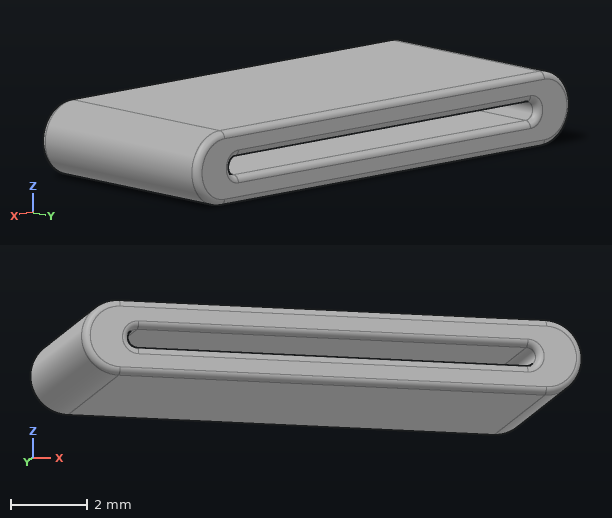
import cadquery as cq

length = 13.5
depth = 6.0
height = 2.0

slot_length = 11.0
slot_height = 0.5

edge_radius = 0.19


def stadium_prism(overall_length, overall_height):
    """Bar with semicircular ends, centred on the origin and extruded along Y."""
    return (
        cq.Workplane("XZ")
        .slot2D(overall_length, overall_height)
        .extrude(depth / 2, both=True)
    )


body = stadium_prism(length, height)
slot = stadium_prism(slot_length, slot_height)
sleeve = body.cut(slot)

result = sleeve.faces("<Y or >Y").edges().fillet(edge_radius)